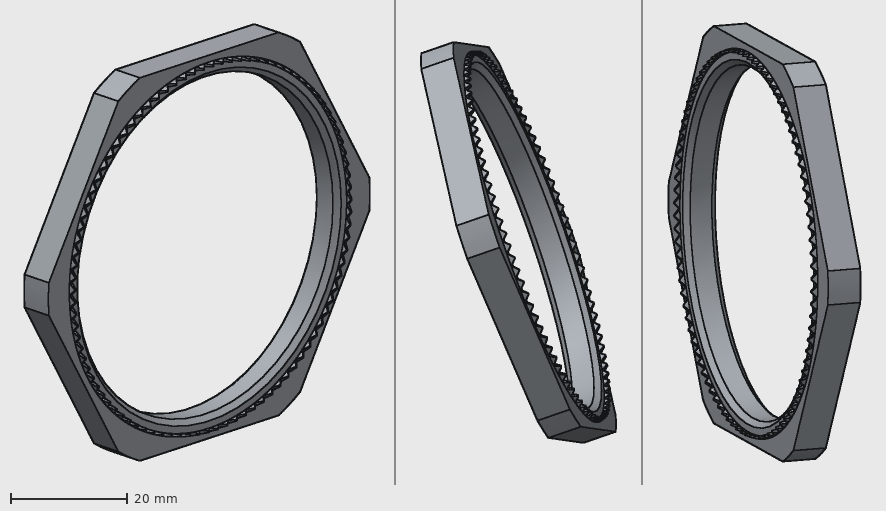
import cadquery as cq
import math

HEXAGON_SIDES = 6
ACROSS_FLATS = 70.0
ACROSS_CORNERS = ACROSS_FLATS / math.cos(math.pi / HEXAGON_SIDES)
CORNER_DIAMETER = 77.6
BODY_THICKNESS = 6.0

BORE_DIAMETER = 61.7
CHAMFER = 1.0

TOOTH_COUNT = 93
TOOTH_HEIGHT = 1.0
TOOTH_TIP_WIDTH = 0.2
TOOTH_BASE = TOOTH_TIP_WIDTH + 2.0 * TOOTH_HEIGHT
TEETH_OUTER_DIAMETER = 67.5
TEETH_TIP_DIAMETER = 66.9
TEETH_INNER_DIAMETER = 66.3
TOOTH_ROOT_OVERLAP = 0.2


def make_body():
    """Hexagonal plate whose corners are turned down to a cylinder."""
    hexagon = cq.Workplane("YZ").polygon(HEXAGON_SIDES, ACROSS_CORNERS).extrude(BODY_THICKNESS)
    corner_cylinder = cq.Workplane("YZ").circle(CORNER_DIAMETER / 2).extrude(BODY_THICKNESS)
    return hexagon.intersect(corner_cylinder)


def make_bore():
    """Revolved cutter: through hole widening conically at each face."""
    radius = BORE_DIAMETER / 2
    mouth_radius = radius + CHAMFER
    profile = (
        cq.Workplane("XY")
        .moveTo(0, 0)
        .lineTo(0, mouth_radius)
        .lineTo(CHAMFER, radius)
        .lineTo(BODY_THICKNESS - CHAMFER, radius)
        .lineTo(BODY_THICKNESS, mouth_radius)
        .lineTo(BODY_THICKNESS, 0)
        .close()
    )
    return profile.revolve(360, (0, 0, 0), (1, 0, 0))


def make_teeth():
    """Radial ridges of blunt V section, trimmed to a narrow ring with a conical outside."""
    root = BODY_THICKNESS - TOOTH_ROOT_OVERLAP
    tip = BODY_THICKNESS + TOOTH_HEIGHT
    half_base = TOOTH_BASE / 2
    half_tip = TOOTH_TIP_WIDTH / 2
    ridge = (
        cq.Workplane("XY")
        .moveTo(root, -half_base)
        .lineTo(BODY_THICKNESS, -half_base)
        .lineTo(tip, -half_tip)
        .lineTo(tip, half_tip)
        .lineTo(BODY_THICKNESS, half_base)
        .lineTo(root, half_base)
        .close()
        .extrude(TEETH_OUTER_DIAMETER)
    )
    ring = (
        cq.Workplane("XY")
        .moveTo(root, TEETH_INNER_DIAMETER / 2)
        .lineTo(root, TEETH_OUTER_DIAMETER / 2)
        .lineTo(BODY_THICKNESS, TEETH_OUTER_DIAMETER / 2)
        .lineTo(tip, TEETH_TIP_DIAMETER / 2)
        .lineTo(tip, TEETH_INNER_DIAMETER / 2)
        .close()
        .revolve(360, (0, 0, 0), (1, 0, 0))
    )
    tooth = ridge.intersect(ring)
    pitch = 360.0 / TOOTH_COUNT
    return [tooth.rotate((0, 0, 0), (1, 0, 0), i * pitch).val() for i in range(TOOTH_COUNT)]


body = make_body().cut(make_bore()).val()
result = cq.Workplane(body.fuse(*make_teeth()))